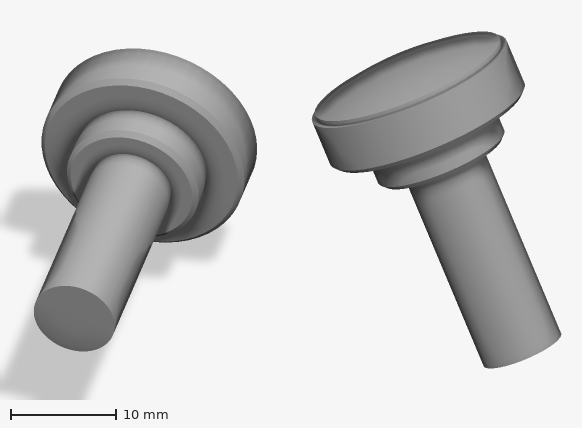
import cadquery as cq

total_length = 30.5
head_diameter = 20.0
head_thickness = 5.0
collar_diameter = 13.0
collar_length = 3.5
shaft_diameter = 8.0
shaft_length = 20.0
edge_chamfer = 0.5
step_height = 0.5
step_inset = 0.5

head_radius = head_diameter / 2
collar_radius = collar_diameter / 2
shaft_radius = shaft_diameter / 2
step_radius = head_radius - step_inset

collar_start = shaft_length
head_start = collar_start + collar_length
head_end = head_start + head_thickness
step_end = head_end + step_height

dome_height = total_length - step_end
dome_radius = (step_radius**2 + dome_height**2) / (2 * dome_height)
dome_center = total_length - dome_radius
dome_mid_x = step_radius / 2
dome_mid_y = dome_center + (dome_radius**2 - dome_mid_x**2) ** 0.5

half_section = (
    cq.Workplane("XY")
    .moveTo(0, 0)
    .lineTo(shaft_radius, 0)
    .lineTo(shaft_radius, collar_start)
    .lineTo(collar_radius - edge_chamfer, collar_start)
    .lineTo(collar_radius, collar_start + edge_chamfer)
    .lineTo(collar_radius, head_start)
    .lineTo(head_radius - edge_chamfer, head_start)
    .lineTo(head_radius, head_start + edge_chamfer)
    .lineTo(head_radius, head_end)
    .lineTo(step_radius, head_end)
    .lineTo(step_radius, step_end)
    .threePointArc((dome_mid_x, dome_mid_y), (0, total_length))
    .close()
)

result = half_section.revolve(360, (0, 0, 0), (0, 1, 0))